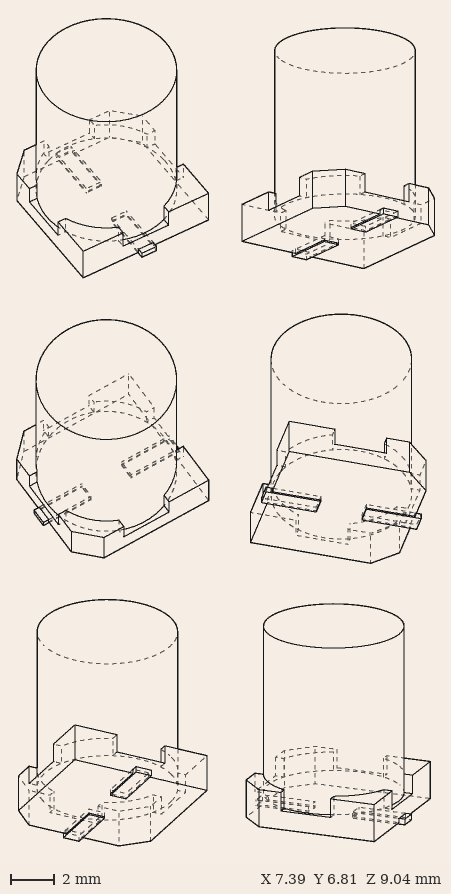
import cadquery as cq

total_height = 9.04
can_diameter = 6.46

base_width = 6.81
base_bottom = 0.07
base_top = 1.87
corner_chamfer = 1.085

notch_width = 2.47
notch_floor = 0.98

lead_span = 7.39
lead_gap = 2.17
lead_width = 0.805
lead_thickness = 0.28
lead_length = (lead_span - lead_gap) / 2


def make_can():
    """Plain cylindrical can standing on the notch floor of the base."""
    return (
        cq.Workplane("XY")
        .workplane(offset=notch_floor)
        .circle(can_diameter / 2)
        .extrude(total_height - notch_floor)
    )


def make_lead(side):
    """Flat lead bar; side is -1 for the -X lead and +1 for the +X lead."""
    center_x = side * (lead_span - lead_length) / 2
    return (
        cq.Workplane("XY")
        .center(center_x, 0)
        .rect(lead_length, lead_width)
        .extrude(lead_thickness)
    )


def make_base(can, leads):
    """Square base with two chamfered corners, a notch in each side, and seats for can and leads."""
    base = (
        cq.Workplane("XY")
        .workplane(offset=base_bottom)
        .rect(base_width, base_width)
        .extrude(base_top - base_bottom)
        .edges("|Z and <X")
        .chamfer(corner_chamfer)
    )

    for size_x, size_y in ((base_width, notch_width), (notch_width, base_width)):
        channel = (
            cq.Workplane("XY")
            .workplane(offset=notch_floor)
            .rect(size_x, size_y)
            .extrude(base_top - notch_floor)
        )
        base = base.cut(channel)

    base = base.cut(can)
    for lead in leads:
        base = base.cut(lead)
    return base.solids()


can = make_can()
leads = [make_lead(side) for side in (-1, 1)]
base = make_base(can, leads)

result = cq.Compound.makeCompound([can.val(), base.val(), *[lead.val() for lead in leads]])